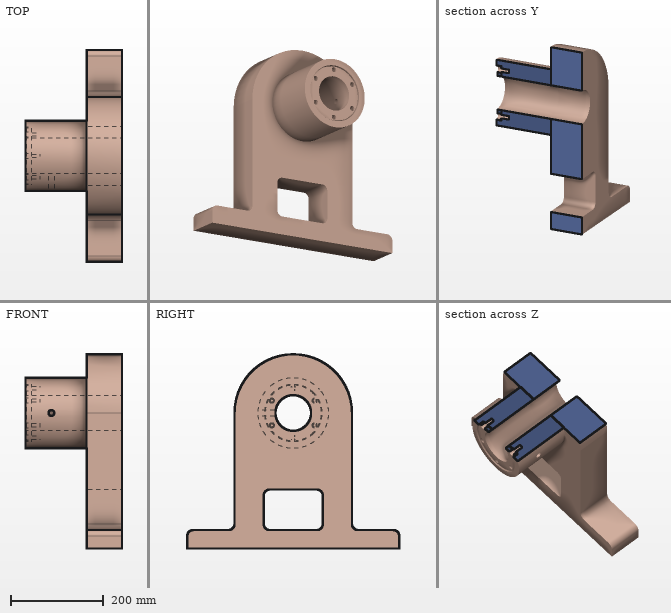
import cadquery as cq
import math

FOOT_WIDTH = 457.0
PLATE_THICKNESS = 76.5
TOTAL_HEIGHT = 419.3
UPRIGHT_WIDTH = 253.7
FOOT_HEIGHT = 40.2
CORNER_RADIUS = 13.0
WINDOW_WIDTH = UPRIGHT_WIDTH / 2
WINDOW_TOP = 127.0
AXIS_HEIGHT = TOTAL_HEIGHT - UPRIGHT_WIDTH / 2

TOTAL_DEPTH = 208.5
HOUSING_LENGTH = TOTAL_DEPTH - PLATE_THICKNESS
HOUSING_DIAMETER = 152.2
BORE_DIAMETER = 76.5
RECESS_DIAMETER = 124.0
SIDE_HOLE_DIAMETER = 12.5
SIDE_HOLE_OFFSET = 56.2

COVER_DIAMETER = 120.5
COVER_THICKNESS = 10.0
COVER_SETBACK = 2.7
SCREW_COUNT = 6
SCREW_CIRCLE_DIAMETER = 106.5
CLEARANCE_DIAMETER = 11.0
THREAD_DIAMETER = 7.0
THREAD_DEPTH = 18.5

HOUSING_END = -HOUSING_LENGTH
COVER_FACE = HOUSING_END + COVER_SETBACK
RECESS_FLOOR = COVER_FACE + COVER_THICKNESS


def x_cylinder(diameter, x_start, length, y=0.0, z=AXIS_HEIGHT):
    """Cylinder along +X, by default on the bore axis."""
    plane = cq.Workplane("YZ", origin=(x_start, y, z))
    return plane.circle(diameter / 2).extrude(length)


def screw_holes(diameter, x_start, length):
    """Ring of hole cutters around the bore axis, the first one at the top."""
    cutters = cq.Workplane("YZ")
    for index in range(SCREW_COUNT):
        angle = 2 * math.pi * index / SCREW_COUNT
        y = SCREW_CIRCLE_DIAMETER / 2 * math.sin(angle)
        z = AXIS_HEIGHT + SCREW_CIRCLE_DIAMETER / 2 * math.cos(angle)
        cutters = cutters.add(x_cylinder(diameter, x_start, length, y, z))
    return cutters.combine()


def make_bracket():
    half_foot = FOOT_WIDTH / 2
    half_upright = UPRIGHT_WIDTH / 2
    body = (
        cq.Workplane("YZ")
        .moveTo(-half_foot, 0)
        .lineTo(half_foot, 0)
        .lineTo(half_foot, FOOT_HEIGHT)
        .lineTo(half_upright, FOOT_HEIGHT)
        .lineTo(half_upright, AXIS_HEIGHT)
        .threePointArc((0, TOTAL_HEIGHT), (-half_upright, AXIS_HEIGHT))
        .lineTo(-half_upright, FOOT_HEIGHT)
        .lineTo(-half_foot, FOOT_HEIGHT)
        .close()
        .extrude(PLATE_THICKNESS)
    )
    foot_region = cq.selectors.BoxSelector(
        (0, -FOOT_WIDTH, FOOT_HEIGHT / 2), (PLATE_THICKNESS, FOOT_WIDTH, FOOT_HEIGHT * 1.5)
    )
    body = body.edges("|X").edges(foot_region).fillet(CORNER_RADIUS)

    window = (
        cq.Workplane("YZ", origin=(0, 0, (FOOT_HEIGHT + WINDOW_TOP) / 2))
        .rect(WINDOW_WIDTH, WINDOW_TOP - FOOT_HEIGHT)
        .extrude(PLATE_THICKNESS)
        .edges("|X")
        .fillet(CORNER_RADIUS)
    )
    return body.cut(window).cut(x_cylinder(BORE_DIAMETER, 0, PLATE_THICKNESS))


def make_housing():
    body = x_cylinder(HOUSING_DIAMETER, HOUSING_END, HOUSING_LENGTH)
    bore = x_cylinder(BORE_DIAMETER, HOUSING_END, HOUSING_LENGTH)
    recess = x_cylinder(RECESS_DIAMETER, HOUSING_END, RECESS_FLOOR - HOUSING_END)
    threads = screw_holes(THREAD_DIAMETER, RECESS_FLOOR, THREAD_DEPTH)
    side_hole = (
        cq.Workplane("XZ", origin=(HOUSING_END + SIDE_HOLE_OFFSET, 0, AXIS_HEIGHT))
        .circle(SIDE_HOLE_DIAMETER / 2)
        .extrude(HOUSING_DIAMETER)
    )
    return body.cut(bore).cut(recess).cut(threads).cut(side_hole)


def make_cover():
    body = x_cylinder(COVER_DIAMETER, COVER_FACE, COVER_THICKNESS)
    bore = x_cylinder(BORE_DIAMETER, COVER_FACE, COVER_THICKNESS)
    clearance_holes = screw_holes(CLEARANCE_DIAMETER, COVER_FACE, COVER_THICKNESS)
    return body.cut(bore).cut(clearance_holes)


bracket = make_bracket()
housing = make_housing()
cover = make_cover()

result = cq.Compound.makeCompound([bracket.val(), housing.val(), cover.val()])